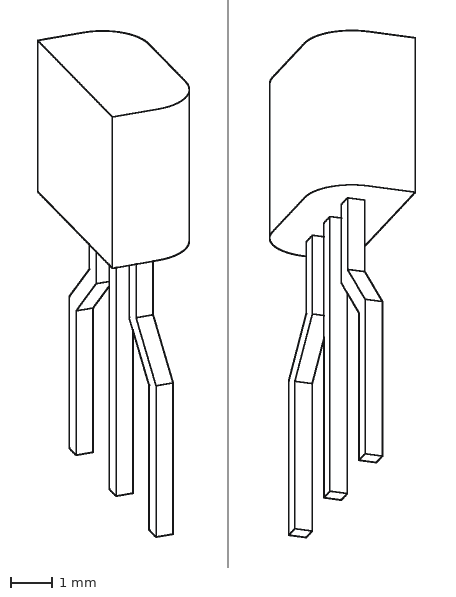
import cadquery as cq
import math

total_height = 11.21

housing_width = 4.75
housing_depth = 2.41
housing_height = 4.04
corner_radius = housing_depth / 2
housing_bottom = total_height - housing_height

lead_size = 0.45
lead_span = 5.53
foot_pitch = (lead_span - lead_size) / 2
root_pitch = foot_pitch / 2
outer_bend_z = 4.04
inner_bend_z = outer_bend_z - lead_size * (math.sqrt(2) - 1)
bend_rise = foot_pitch - root_pitch


def make_housing():
    block = cq.Workplane("XY").box(
        housing_width, housing_depth, housing_height, centered=(True, True, False)
    )
    rounded = block.edges("|Z and >Y").fillet(corner_radius)
    return rounded.translate((0, 0, housing_bottom))


def make_straight_lead():
    return cq.Workplane("XY").rect(lead_size, lead_size).extrude(housing_bottom)


def make_bent_lead(side):
    half = lead_size / 2
    foot_outer = foot_pitch + half
    foot_inner = foot_pitch - half
    root_outer = root_pitch + half
    root_inner = root_pitch - half
    outline = [
        (foot_inner, 0),
        (foot_outer, 0),
        (foot_outer, outer_bend_z),
        (root_outer, outer_bend_z + bend_rise),
        (root_outer, housing_bottom),
        (root_inner, housing_bottom),
        (root_inner, inner_bend_z + bend_rise),
        (foot_inner, inner_bend_z),
    ]
    points = [(side * x, z) for x, z in outline]
    return cq.Workplane("XZ").polyline(points).close().extrude(half, both=True)


housing = make_housing()
straight_lead = make_straight_lead()
bent_leads = [make_bent_lead(side) for side in (-1, 1)]

result = cq.Compound.makeCompound(
    [housing.val(), straight_lead.val(), *[lead.val() for lead in bent_leads]]
)